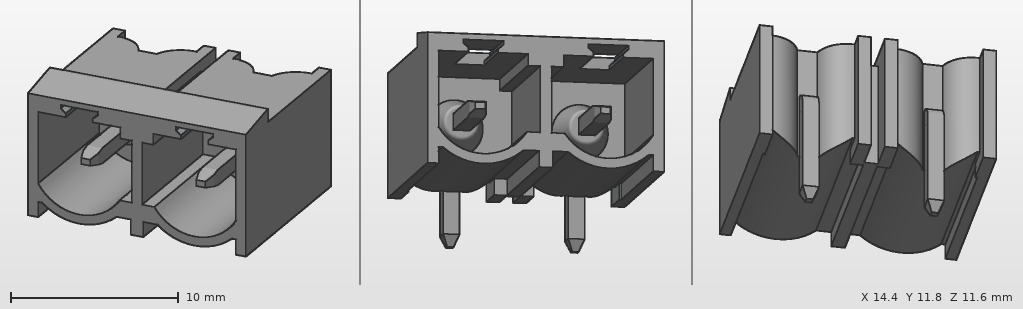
import cadquery as cq
import math

pitch = 7.62
pin_xs = (-pitch / 2, pitch / 2)

width = 14.42
depth = 11.75
block_height = 7.57

ridge_depth = 3.09
ridge_height = 8.4
ridge_flat = 0.24
ridge_front_height = 7.93

side_wall = 0.68
cavity_half_width = width / 2 - pitch / 2 - side_wall
cavity_inner_reach = pitch / 2 - side_wall / 2
cavity_top = 6.84
cavity_shoulder = 6.13
cavity_ledge = 2.1
cavity_depth = 8.4
round_z = 3.88
cavity_radius = 3.2
shell_radius = 3.8

underside_z = 0.99
rib_width = 0.84

recess_wall = 0.79
recess_depth = 2.34
lobe_gap_depth = 1.0
lobe_radius = 2.0
lobe_flat_half_width = 0.61

groove_floor = 6.84
web_back_gap = 2.0

slot_depth = 4.12
slot_top_width = 2.45
slot_neck_width = 1.8
slot_slope_top = 7.35
slot_slope_bottom = 7.08

pin_size = 1.0
pin_z = 3.76
pin_front_y = 0.88
overall_height = 11.6
pin_bottom_z = ridge_height - overall_height
bottom_tip_length = 0.72
front_top_taper = 1.28
front_side_taper = 0.76
front_tip_width = 0.6
tip_end_size = 0.4

collar_base_radius = 1.71
collar_front_radius = 1.04
collar_round = 0.22
collar_length = 2.0

recess_front_y = depth - recess_depth
tail_back_y = recess_front_y + pin_size
recess_half_width = (pitch - rib_width) / 2 - recess_wall


def box(x_min, x_max, y_min, y_max, z_min, z_max):
    size = (x_max - x_min, y_max - y_min, z_max - z_min)
    return cq.Workplane("XY").box(*size, centered=False).translate((x_min, y_min, z_min))


def circle_half_chord(radius, offset):
    """Half the chord of a circle at a distance from its centre."""
    return math.sqrt(radius**2 - offset**2)


def outer_block():
    """Side profile with the sloped ridge, run across the full width."""
    return (
        cq.Workplane("YZ", origin=(-width / 2, 0, 0))
        .moveTo(0, 0)
        .lineTo(depth, 0)
        .lineTo(depth, block_height)
        .lineTo(ridge_depth, block_height)
        .lineTo(ridge_depth, ridge_height)
        .lineTo(ridge_depth - ridge_flat, ridge_height)
        .lineTo(0, ridge_front_height)
        .close()
        .extrude(width)
    )


def cavity(pin_x, inward):
    """Socket with a round bottom and a shoulder and ledge on the side toward the middle."""
    ledge_edge = circle_half_chord(cavity_radius, round_z - cavity_ledge)
    arc_end_z = round_z - circle_half_chord(cavity_radius, cavity_half_width)
    inner_x = pin_x + inward * cavity_inner_reach
    outer_x = pin_x - inward * cavity_half_width
    shoulder_x = pin_x + inward * cavity_half_width
    return (
        cq.Workplane("XZ")
        .moveTo(outer_x, arc_end_z)
        .lineTo(outer_x, cavity_top)
        .lineTo(shoulder_x, cavity_top)
        .lineTo(shoulder_x, cavity_shoulder)
        .lineTo(inner_x, cavity_shoulder)
        .lineTo(inner_x, cavity_ledge)
        .lineTo(pin_x + inward * ledge_edge, cavity_ledge)
        .threePointArc((pin_x, round_z - cavity_radius), (outer_x, arc_end_z))
        .close()
        .extrude(-cavity_depth)
    )


def underside_channel(pin_x, inward):
    """Space below one socket, between the feet and around the round shell."""
    outer_x = pin_x - inward * cavity_half_width
    inner_x = pin_x + inward * (pitch - rib_width) / 2
    front = box(min(outer_x, inner_x), max(outer_x, inner_x), 0, recess_front_y, 0, underside_z)
    back = box(pin_x - recess_half_width, pin_x + recess_half_width, recess_front_y, depth, 0, underside_z)
    shell = cq.Workplane("XZ").center(pin_x, round_z).circle(shell_radius).extrude(-depth)
    return front.union(back).cut(shell)


def back_recess(pin_x):
    """Upright opening for the pin tail, bounded by a rounded lobe on each side."""
    lobe_y = depth - lobe_gap_depth - lobe_radius
    lobe_x = lobe_flat_half_width + circle_half_chord(lobe_radius, recess_front_y - lobe_y)
    arc_angle = (math.pi / 2 + math.acos((lobe_flat_half_width - lobe_x) / lobe_radius)) / 2
    arc_mid_x = lobe_x + lobe_radius * math.cos(arc_angle)
    arc_mid_y = lobe_y + lobe_radius * math.sin(arc_angle)
    lobe_end_y = lobe_y + lobe_radius
    return (
        cq.Workplane("XY", origin=(pin_x, 0, 0))
        .moveTo(-lobe_flat_half_width, recess_front_y)
        .lineTo(lobe_flat_half_width, recess_front_y)
        .threePointArc((arc_mid_x, arc_mid_y), (lobe_x, lobe_end_y))
        .lineTo(recess_half_width, lobe_end_y)
        .lineTo(recess_half_width, depth)
        .lineTo(-recess_half_width, depth)
        .lineTo(-recess_half_width, lobe_end_y)
        .lineTo(-lobe_x, lobe_end_y)
        .threePointArc((-arc_mid_x, arc_mid_y), (-lobe_flat_half_width, recess_front_y))
        .close()
        .extrude(block_height)
    )


def dovetail_slot(pin_x):
    """Coding slot over a cavity, wider at its top, running back past the ridge."""
    top_half = slot_top_width / 2
    neck_half = slot_neck_width / 2
    return (
        cq.Workplane("XZ", origin=(pin_x, 0, 0))
        .moveTo(-top_half, block_height)
        .lineTo(top_half, block_height)
        .lineTo(top_half, slot_slope_top)
        .lineTo(neck_half, slot_slope_bottom)
        .lineTo(neck_half, cavity_top)
        .lineTo(-neck_half, cavity_top)
        .lineTo(-neck_half, slot_slope_bottom)
        .lineTo(-top_half, slot_slope_top)
        .close()
        .extrude(-slot_depth)
    )


def collar(pin_x):
    """Cone around the pin on the back wall of a cavity, with a rounded front edge."""
    return (
        cq.Workplane("XZ", origin=(pin_x, cavity_depth, pin_z))
        .circle(collar_base_radius)
        .workplane(offset=collar_length)
        .circle(collar_front_radius)
        .loft()
        .faces("<Y")
        .edges()
        .fillet(collar_round)
    )


def centre_groove():
    """Groove in the top between the two halves, open right through behind the web."""
    half = rib_width / 2
    top = box(-half, half, ridge_depth, depth, groove_floor, block_height)
    back = box(-half, half, depth - web_back_gap, depth, 0, block_height)
    return top.union(back)


def make_pin(pin_x):
    """Square pin bent down behind the housing, tapered at both ends."""
    half = pin_size / 2
    z_top = pin_z + half
    z_low = pin_z - half
    taper_y = pin_front_y + front_top_taper
    taper_z = pin_bottom_z + bottom_tip_length
    bend_mid_y = recess_front_y + pin_size * math.cos(math.pi / 4)
    bend_mid_z = z_low + pin_size * math.sin(math.pi / 4)
    bar = (
        cq.Workplane("YZ", origin=(-half, 0, 0))
        .moveTo(pin_front_y, pin_z - tip_end_size / 2)
        .lineTo(taper_y, z_low)
        .lineTo(recess_front_y, z_low)
        .lineTo(recess_front_y, taper_z)
        .lineTo(tail_back_y, taper_z)
        .lineTo(tail_back_y, z_low)
        .threePointArc((bend_mid_y, bend_mid_z), (recess_front_y, z_top))
        .lineTo(taper_y, z_top)
        .lineTo(pin_front_y, pin_z + tip_end_size / 2)
        .close()
        .extrude(pin_size)
    )
    plan = (
        cq.Workplane("XY", origin=(0, 0, pin_bottom_z))
        .moveTo(-front_tip_width / 2, pin_front_y)
        .lineTo(front_tip_width / 2, pin_front_y)
        .lineTo(half, pin_front_y + front_side_taper)
        .lineTo(half, tail_back_y)
        .lineTo(-half, tail_back_y)
        .lineTo(-half, pin_front_y + front_side_taper)
        .close()
        .extrude(overall_height)
    )
    bottom_tip = (
        cq.Workplane("XY", origin=(0, recess_front_y + half, taper_z))
        .rect(pin_size, pin_size)
        .workplane(offset=-bottom_tip_length)
        .rect(tip_end_size, tip_end_size)
        .loft()
    )
    return bar.intersect(plan).union(bottom_tip).translate((pin_x, 0, 0))


def make_housing(pins):
    body = outer_block().cut(centre_groove())
    for pin_x, pin in zip(pin_xs, pins):
        inward = -math.copysign(1, pin_x)
        body = body.cut(cavity(pin_x, inward)).cut(dovetail_slot(pin_x))
        body = body.cut(underside_channel(pin_x, inward)).cut(back_recess(pin_x))
        body = body.union(collar(pin_x)).cut(pin)
    return body


pins = [make_pin(pin_x) for pin_x in pin_xs]
housing = make_housing(pins)

result = cq.Compound.makeCompound([housing.solids().val(), *[pin.solids().val() for pin in pins]])